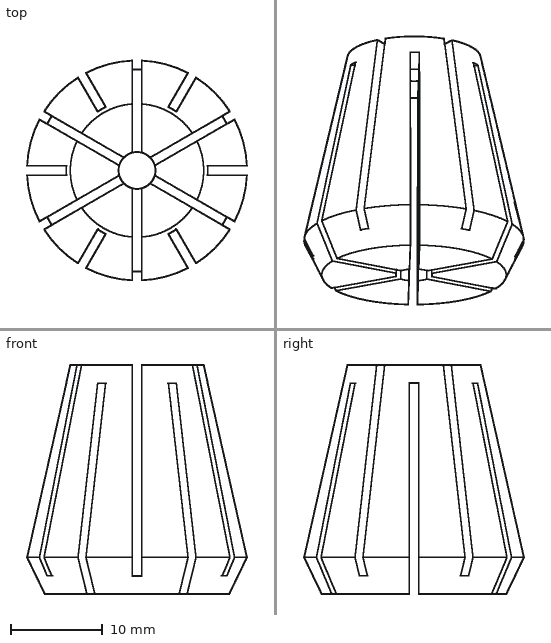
import cadquery as cq

height = 25.0
max_diameter = 24.0
top_diameter = 14.55
bottom_diameter = 20.12
nose_height = 4.0
bore_diameter = 4.0

slot_width = 1.0
slot_web = 2.0
slots_per_end = 6
slot_pitch = 360.0 / slots_per_end
slot_depth = height - slot_web


def double_cone():
    """Solid of revolution: short lower cone below a long upper taper."""
    profile = [
        (0, 0),
        (bottom_diameter / 2, 0),
        (max_diameter / 2, nose_height),
        (top_diameter / 2, height),
        (0, height),
    ]
    return cq.Workplane("XZ").polyline(profile).close().revolve(360, (0, 0, 0), (0, 1, 0))


def slot_cutters(first_angle, floor):
    """Full-diameter blades; each one opens two opposite slots."""
    blades = cq.Workplane("XY")
    for index in range(slots_per_end // 2):
        blade = (
            cq.Workplane("XY", origin=(0, 0, floor))
            .box(max_diameter, slot_width, slot_depth, centered=(True, True, False))
            .rotate((0, 0, 0), (0, 0, 1), first_angle + index * slot_pitch)
        )
        blades = blades.add(blade)
    return blades.combine()


bore = cq.Workplane("XY").circle(bore_diameter / 2).extrude(height)
top_slots = slot_cutters(slot_pitch / 2, slot_web)
bottom_slots = slot_cutters(0, 0)

result = double_cone().cut(bore).cut(top_slots).cut(bottom_slots)